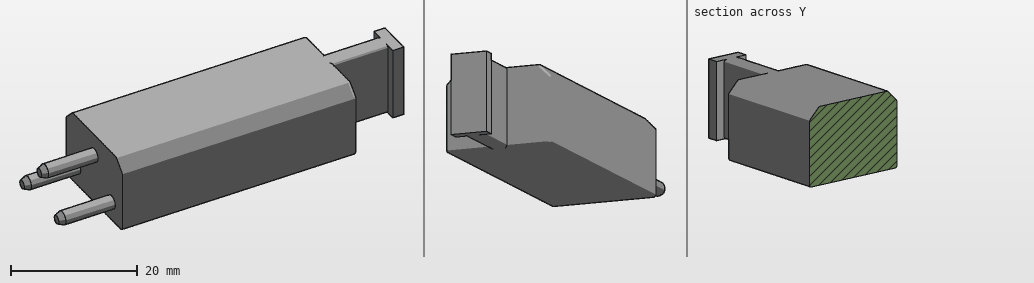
import cadquery as cq

total_length = 64.4
body_width = 18.0
body_height = 13.0
corner_chamfer = 2.0
edge_radius = 0.5

pin_length = 10.0
pin_diameter = 2.4
pin_tip_diameter = 1.5
pin_tip_length = 1.0
side_pin_offset = 5.55
side_pin_height = 3.5
middle_pin_height = 9.15
pin_positions = [
    (-side_pin_offset, side_pin_height),
    (side_pin_offset, side_pin_height),
    (0, middle_pin_height),
]

head_width = 6.05
head_thickness = 2.0
stem_width = 3.0
stem_length = 9.85
stem_embed = 1.9

body_front = pin_length
head_front = total_length - head_thickness
body_back = head_front - stem_length


def block(width, front, back):
    """Full-height box centred on X between two Y positions."""
    return cq.Workplane("XY").box(width, back - front, body_height, centered=(True, False, False)).translate(
        (0, front, 0)
    )


def make_body():
    """Block with chamfered upper corners, rounded long edges and a rounded rear rim."""
    body = block(body_width, body_front, body_back)
    body = body.faces(">Z").edges("|Y").chamfer(corner_chamfer)
    return body.edges("|Y or >Y").fillet(edge_radius)


def make_grip():
    """Stem with rounded long edges, ending in a square-edged head."""
    stem = block(stem_width, body_back - stem_embed, head_front)
    stem = stem.edges("|Y").fillet(edge_radius)
    return stem.union(block(head_width, head_front, total_length))


def make_pin(x, z):
    """Round pin along Y, pointing to -Y, with a conical tip."""
    radius = pin_diameter / 2
    tip_radius = pin_tip_diameter / 2
    half_profile = (
        cq.Workplane("XY")
        .moveTo(0, 0)
        .lineTo(tip_radius, 0)
        .lineTo(radius, pin_tip_length)
        .lineTo(radius, pin_length)
        .lineTo(0, pin_length)
        .close()
    )
    return half_profile.revolve(360, (0, 0), (0, 1)).translate((x, 0, z))


result = make_body().union(make_grip())
for pin_x, pin_z in pin_positions:
    result = result.union(make_pin(pin_x, pin_z))